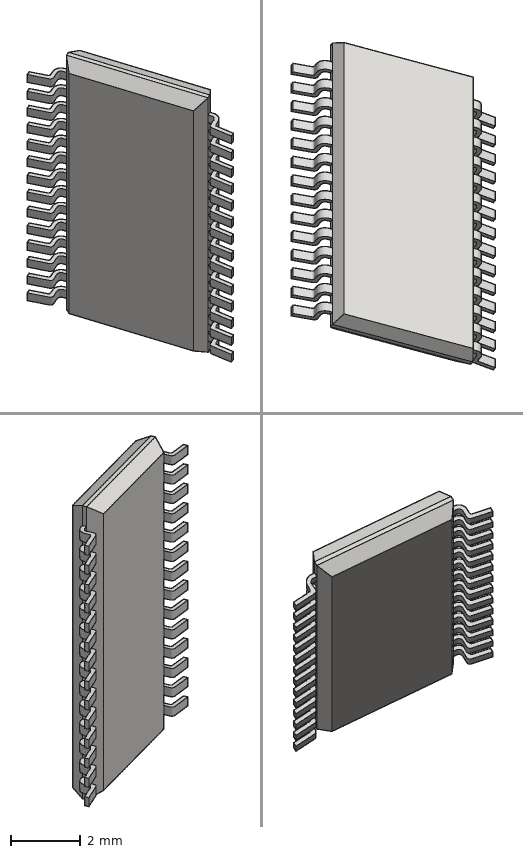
import cadquery as cq
import math

body_length = 9.8
body_width = 4.51
back_height = 0.4
front_height = 0.41
back_inset = 0.18
front_inset = 0.27

lead_count = 14
lead_pitch = 0.65
lead_width = 0.3
lead_thickness = 0.14
lead_span = 6.5
row_offset = -0.12
leg_outer_reach = 0.62
foot_angle = 8.0
overall_depth = 1.1
shoulder_outer_radius = 0.26
shoulder_inner_radius = shoulder_outer_radius - lead_thickness
heel_outer_radius = 0.11
heel_inner_radius = 0.07

band_back_y = -back_height
band_front_y = band_back_y - lead_thickness
tip_front_y = -overall_depth


def tapered_half(band_y, height, inset):
    """Frustum growing from the band outline at band_y; a negative height grows towards -Y."""
    base = cq.Workplane("XZ", origin=(0, band_y, 0)).rect(body_width, body_length)
    return (
        base.workplane(offset=-height)
        .rect(body_width - 2 * inset, body_length - 2 * inset)
        .loft(ruled=True, combine=True)
    )


def make_body():
    band_center_y = (band_back_y + band_front_y) / 2
    band = cq.Workplane("XY").box(body_width, lead_thickness, body_length)
    band = band.translate((0, band_center_y, 0))
    back = tapered_half(band_back_y, back_height, back_inset)
    front = tapered_half(band_front_y, -front_height, front_inset)
    return band.union(back).union(front)


def make_lead():
    """Lead on the +X side, centred on Z = 0, its root buried inside the body."""
    root_x = body_width / 2 - front_inset
    tip_x = lead_span / 2
    leg_outer_x = tip_x - leg_outer_reach
    leg_inner_x = leg_outer_x - lead_thickness
    slope = math.tan(math.radians(foot_angle))
    tip_back_y = tip_front_y + lead_thickness / math.cos(math.radians(foot_angle))

    shoulder_outer = (leg_outer_x, band_back_y)
    shoulder_inner = (leg_inner_x, band_front_y)
    heel_outer = (leg_inner_x, tip_front_y + slope * (tip_x - leg_inner_x))
    heel_inner = (leg_outer_x, tip_back_y + slope * (tip_x - leg_outer_x))
    outline = [
        (root_x, band_back_y),
        shoulder_outer,
        heel_inner,
        (tip_x, tip_back_y),
        (tip_x, tip_front_y),
        heel_outer,
        shoulder_inner,
        (root_x, band_front_y),
    ]
    lead = cq.Workplane("XY").polyline(outline).close().extrude(lead_width / 2, both=True)

    bends = [
        (shoulder_outer, shoulder_outer_radius),
        (shoulder_inner, shoulder_inner_radius),
        (heel_outer, heel_outer_radius),
        (heel_inner, heel_inner_radius),
    ]
    for (corner_x, corner_y), radius in bends:
        corner = cq.selectors.NearestToPointSelector((corner_x, corner_y, 0))
        lead = lead.edges("|Z").edges(corner).fillet(radius)
    return lead


right_lead = make_lead()
left_lead = right_lead.mirror("YZ")
lead_pair = right_lead.union(left_lead)

result = make_body()
for index in range(lead_count):
    lead_z = row_offset + (index - (lead_count - 1) / 2) * lead_pitch
    result = result.union(lead_pair.translate((0, 0, lead_z)))